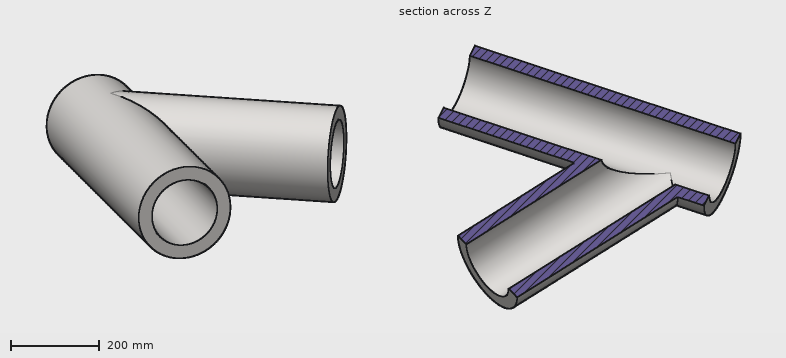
import cadquery as cq
import math

outer_diameter = 219.0
bore_diameter = 155.5
run_length = 648.0
junction_offset = 127.5
branch_length = 521.0
branch_angle = math.radians(60)

run_start = cq.Vector(-junction_offset, 0, 0)
run_direction = cq.Vector(1, 0, 0)
branch_start = cq.Vector(0, 0, 0)
branch_direction = cq.Vector(math.cos(branch_angle), math.sin(branch_angle), 0)


def rod(diameter, length, start, direction):
    """Solid cylinder from a start point along a direction."""
    return cq.Workplane(cq.Solid.makeCylinder(diameter / 2, length, start, direction))


def tee(diameter):
    """Run and branch cylinders of one diameter joined together."""
    run = rod(diameter, run_length, run_start, run_direction)
    branch = rod(diameter, branch_length, branch_start, branch_direction)
    return run.union(branch)


result = tee(outer_diameter).cut(tee(bore_diameter))